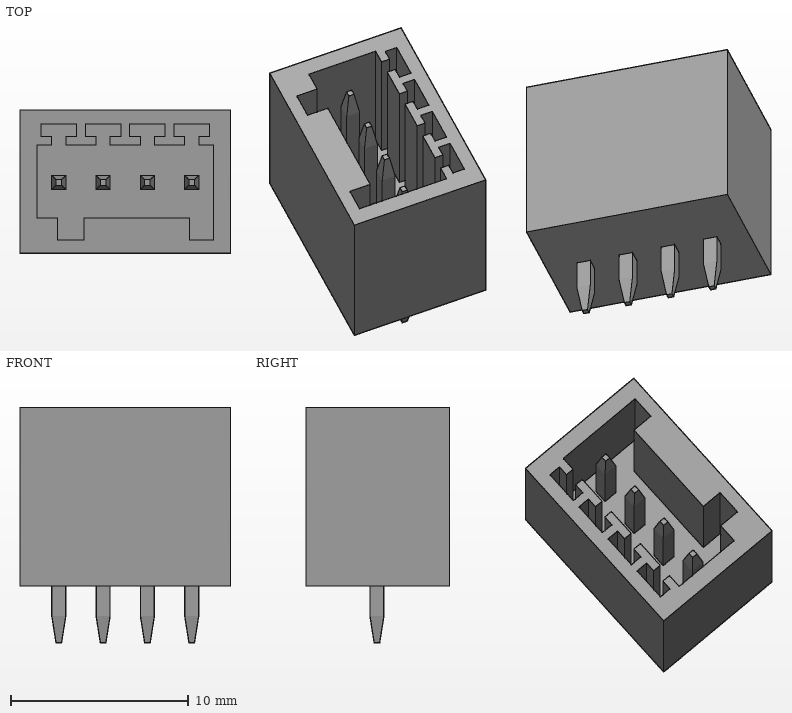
import cadquery as cq

HOUSING_LENGTH = 11.9
HOUSING_DEPTH = 8.1
OVERALL_HEIGHT = 13.3
TAIL_LENGTH = 3.2
HOUSING_HEIGHT = OVERALL_HEIGHT - TAIL_LENGTH
FLOOR_THICKNESS = 2.0
FRONT_FACE = -HOUSING_DEPTH / 2
REAR_FACE = HOUSING_DEPTH / 2

CAVITY_LENGTH = 9.98
CAVITY_WALL = 2.0
CAVITY_FRONT = FRONT_FACE + CAVITY_WALL
CAVITY_REAR = REAR_FACE - CAVITY_WALL
CAVITY_LEFT = -CAVITY_LENGTH / 2
CAVITY_RIGHT = CAVITY_LENGTH / 2

KEYWAY_WALL = 0.75
KEYWAY_FRONT = FRONT_FACE + KEYWAY_WALL
LEFT_KEYWAY_START = -3.83
LEFT_KEYWAY_WIDTH = 1.5
RIGHT_KEYWAY_WIDTH = 1.35

PIN_COUNT = 4
PIN_PITCH = 2.5
PIN_WIDTH = 0.8
PIN_TIP_WIDTH = 0.32
PIN_TAPER = 1.5
PIN_SETBACK = 4.0
PIN_Y = FRONT_FACE + PIN_SETBACK
PIN_LENGTH = 12.0
PIN_TOP = PIN_LENGTH - TAIL_LENGTH
PIN_XS = [(i - (PIN_COUNT - 1) / 2) * PIN_PITCH for i in range(PIN_COUNT)]

SLOT_NECK_WIDTH = 0.8
SLOT_HEAD_WIDTH = 2.01
SLOT_HEAD_DEPTH = 0.7
SLOT_REAR_WALL = 0.8
SLOT_HEAD_REAR = REAR_FACE - SLOT_REAR_WALL
SLOT_HEAD_FRONT = SLOT_HEAD_REAR - SLOT_HEAD_DEPTH


def box(x_min, x_max, y_min, y_max, z_min, z_max):
    """Box between two opposite corners."""
    size = (x_max - x_min, y_max - y_min, z_max - z_min)
    return cq.Workplane("XY").box(*size, centered=False).translate((x_min, y_min, z_min))


def pocket(x_min, x_max, y_min, y_max):
    """Cutter that reaches from the cavity floor to the top of the housing."""
    return box(x_min, x_max, y_min, y_max, FLOOR_THICKNESS, HOUSING_HEIGHT)


def t_slot(x):
    """T-shaped cutter: a neck opening into the cavity and a wider head behind it."""
    neck = pocket(x - SLOT_NECK_WIDTH / 2, x + SLOT_NECK_WIDTH / 2, CAVITY_REAR, SLOT_HEAD_FRONT)
    head = pocket(x - SLOT_HEAD_WIDTH / 2, x + SLOT_HEAD_WIDTH / 2, SLOT_HEAD_FRONT, SLOT_HEAD_REAR)
    return neck.union(head)


def taper(x, base_z, tip_z):
    """Truncated pyramid from the full pin section to the small end face."""
    base = cq.Workplane("XY", origin=(x, PIN_Y, base_z)).rect(PIN_WIDTH, PIN_WIDTH)
    return base.workplane(offset=tip_z - base_z).rect(PIN_TIP_WIDTH, PIN_TIP_WIDTH).loft(ruled=True)


def make_pin(x):
    """Straight square pin with a taper at each end."""
    shank_bottom = -TAIL_LENGTH + PIN_TAPER
    shank_top = PIN_TOP - PIN_TAPER
    half = PIN_WIDTH / 2
    shank = box(x - half, x + half, PIN_Y - half, PIN_Y + half, shank_bottom, shank_top)
    return shank.union(taper(x, shank_bottom, -TAIL_LENGTH)).union(taper(x, shank_top, PIN_TOP))


def make_housing(pins, integral_pin):
    """Open-topped block with keyways, T-slots, pin holes and one pin formed in one piece with it."""
    body = box(-HOUSING_LENGTH / 2, HOUSING_LENGTH / 2, FRONT_FACE, REAR_FACE, 0, HOUSING_HEIGHT)
    body = body.cut(pocket(CAVITY_LEFT, CAVITY_RIGHT, CAVITY_FRONT, CAVITY_REAR))
    left_keyway_end = LEFT_KEYWAY_START + LEFT_KEYWAY_WIDTH
    body = body.cut(pocket(LEFT_KEYWAY_START, left_keyway_end, KEYWAY_FRONT, CAVITY_FRONT))
    right_keyway_start = CAVITY_RIGHT - RIGHT_KEYWAY_WIDTH
    body = body.cut(pocket(right_keyway_start, CAVITY_RIGHT, KEYWAY_FRONT, CAVITY_FRONT))
    for x in PIN_XS:
        body = body.cut(t_slot(x))
    for pin in pins:
        body = body.cut(pin)
    return body.union(integral_pin)


first_pin = make_pin(PIN_XS[0])
separate_pins = [make_pin(x) for x in PIN_XS[1:]]
housing = make_housing(separate_pins, first_pin)

result = cq.Compound.makeCompound([housing.val(), *[pin.val() for pin in separate_pins]])